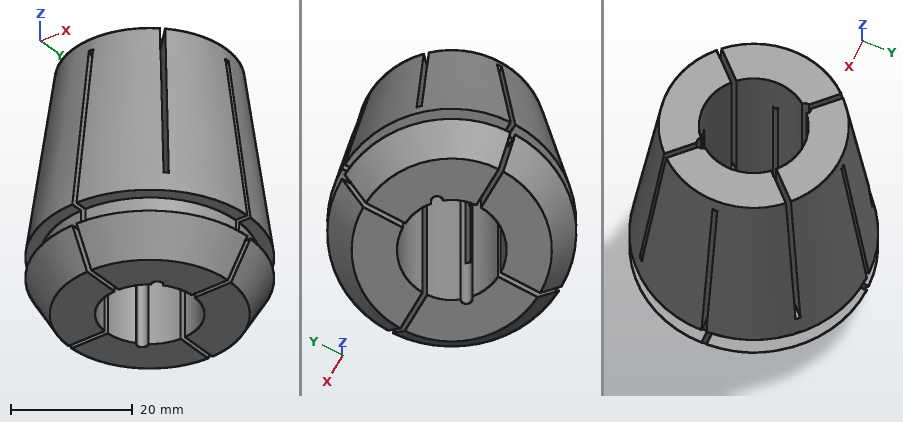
import cadquery as cq
import math

height = 46.0
outer_diameter = 41.0
outer_radius = outer_diameter / 2
top_radius = 15.65
foot_radius = 16.45
bore_radius = 9.0

groove_radius = 18.12
groove_bottom = 7.05
groove_top = 11.15

slot_width = 0.87
slots_per_end = 4
slot_pitch = 360 / slots_per_end
saw_radius = 25.0
lower_saw_center = (28.5, 21.9)
upper_saw_center = (19.1, 39.95)

relief_radius = 1.0
relief_angles = (135, -45)

clearance = 2.3
cutter_inner = bore_radius - clearance
cutter_outer = outer_radius + clearance


def saw_height(center, radius, side):
    """Height of the saw's edge at a radius; side is +1 above its center, -1 below."""
    center_radius, center_height = center
    return center_height + side * math.sqrt(saw_radius**2 - (radius - center_radius) ** 2)


def saw_slot(center, side, open_height, angle):
    """Radial slot from an open end to the curved floor left by the saw."""
    middle = (cutter_inner + cutter_outer) / 2
    inner_end, middle_point, outer_end = [
        (radius, saw_height(center, radius, side)) for radius in (cutter_inner, middle, cutter_outer)
    ]
    return (
        cq.Workplane("XZ")
        .moveTo(*inner_end)
        .threePointArc(middle_point, outer_end)
        .lineTo(cutter_outer, open_height)
        .lineTo(cutter_inner, open_height)
        .close()
        .extrude(slot_width / 2, both=True)
        .rotate((0, 0, 0), (0, 0, 1), angle)
    )


def collet_body():
    """Revolved half section around the Z axis."""
    section = [
        (bore_radius, 0),
        (foot_radius, 0),
        (outer_radius, groove_bottom),
        (groove_radius, groove_bottom),
        (groove_radius, groove_top),
        (outer_radius, groove_top),
        (top_radius, height),
        (bore_radius, height),
    ]
    return cq.Workplane("XZ").polyline(section).close().revolve(360, (0, 0, 0), (0, 1, 0))


result = collet_body()

for index in range(slots_per_end):
    lower_angle = index * slot_pitch
    upper_angle = lower_angle + slot_pitch / 2
    result = result.cut(saw_slot(lower_saw_center, 1, -clearance, lower_angle))
    result = result.cut(saw_slot(upper_saw_center, -1, height + clearance, upper_angle))

for angle in relief_angles:
    relief = cq.Workplane("XY").center(bore_radius, 0).circle(relief_radius).extrude(height)
    relief = relief.rotate((0, 0, 0), (0, 0, 1), angle)
    result = result.cut(relief)